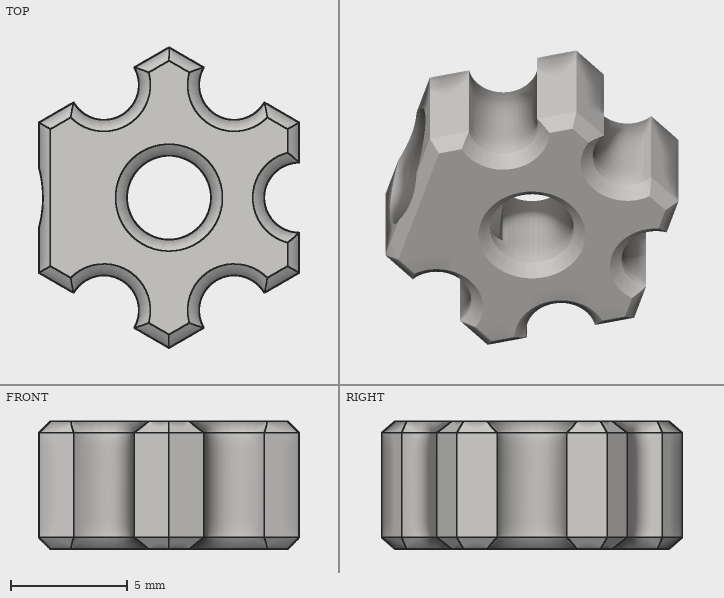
import cadquery as cq
import math

FLAT_COUNT = 6
ACROSS_FLATS = 11.2
HEIGHT = 5.5
CHAMFER = 0.5

BORE_DIAMETER = 3.6

SCALLOP_RADIUS = 1.5

SIDE_HOLE_DIAMETER = 4.2
SIDE_HOLE_DEPTH = 4.8

FLAT_DISTANCE = ACROSS_FLATS / 2
ACROSS_CORNERS = ACROSS_FLATS / math.cos(math.pi / FLAT_COUNT)
FULL_TURN = 360
FLAT_ANGLE_STEP = FULL_TURN // FLAT_COUNT
PLAIN_FLAT_ANGLE = FULL_TURN // 2


def hexagonal_blank():
    """Hexagonal prism with flats facing +X and -X."""
    corner_turn = FLAT_ANGLE_STEP / 2
    return (
        cq.Workplane("XY")
        .polygon(FLAT_COUNT, ACROSS_CORNERS)
        .extrude(HEIGHT / 2, both=True)
        .rotate((0, 0, 0), (0, 0, 1), corner_turn)
    )


def scallop_cutters():
    """Upright cylinders on the middle of every flat except the plain one."""
    centres = []
    for angle in range(0, FULL_TURN, FLAT_ANGLE_STEP):
        if angle != PLAIN_FLAT_ANGLE:
            direction = math.radians(angle)
            centres.append((FLAT_DISTANCE * math.cos(direction), FLAT_DISTANCE * math.sin(direction)))
    return (
        cq.Workplane("XY")
        .pushPoints(centres)
        .circle(SCALLOP_RADIUS)
        .extrude(HEIGHT, both=True)
    )


def bore_cutter():
    """Cylinder through the middle along Z."""
    return cq.Workplane("XY").circle(BORE_DIAMETER / 2).extrude(HEIGHT, both=True)


def side_hole_cutter():
    """Flat-bottomed hole from the -X flat, with a countersunk mouth."""
    radius = SIDE_HOLE_DIAMETER / 2
    entry = cq.Workplane("YZ", origin=(-FLAT_DISTANCE, 0, 0))
    hole = entry.circle(radius).extrude(SIDE_HOLE_DEPTH)
    countersink = cq.Solid.makeCone(
        radius + CHAMFER,
        radius,
        CHAMFER,
        pnt=cq.Vector(-FLAT_DISTANCE, 0, 0),
        dir=cq.Vector(1, 0, 0),
    )
    return hole.union(cq.Workplane(obj=countersink))


body = hexagonal_blank().cut(scallop_cutters()).cut(bore_cutter())
body = body.faces("<Z or >Z").edges().chamfer(CHAMFER)
result = body.cut(side_hole_cutter())